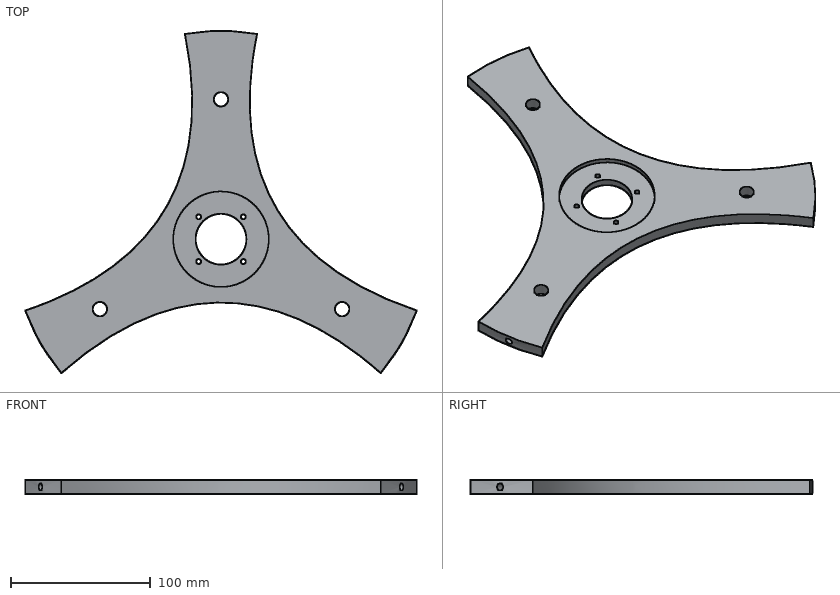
import cadquery as cq
import math

thickness = 10.0
overall_width = 280
tip_half_angle = 10
waist_radius = 45.5
arm_angles = (90, 210, 330)
half_arm_spacing = 60
tip_radius = overall_width / 2 / math.cos(math.radians(arm_angles[2] + tip_half_angle))

bore_diameter = 36.0
recess_diameter = 68.3
recess_depth = 4.0
screw_diameter = 3.5
screw_pitch = 32.0

arm_hole_diameter = 10.0
arm_hole_radius = 100.0
tip_hole_diameter = 5.0
tip_hole_depth = 20.0


def polar(radius, angle):
    """Point in the XY plane at a radius and an angle in degrees."""
    return (radius * math.cos(math.radians(angle)), radius * math.sin(math.radians(angle)))


def make_plate():
    """Three arms with round tips, joined by smooth parabolic sides."""
    outline = cq.Workplane("XY").moveTo(*polar(tip_radius, arm_angles[0] - tip_half_angle))
    for angle in arm_angles:
        tip_end = polar(tip_radius, angle + tip_half_angle)
        waist = polar(waist_radius, angle + half_arm_spacing)
        next_tip = polar(tip_radius, angle + 2 * half_arm_spacing - tip_half_angle)
        outline = outline.threePointArc(polar(tip_radius, angle), tip_end)
        outline = outline.spline([waist, next_tip], includeCurrent=True)
    return outline.close().extrude(thickness)


def cut_centre(body):
    """Through bore, shallow recess in the top face and screw holes in its floor."""
    bore = cq.Workplane("XY").circle(bore_diameter / 2).extrude(thickness)
    recess = (
        cq.Workplane("XY")
        .workplane(offset=thickness - recess_depth)
        .circle(recess_diameter / 2)
        .extrude(recess_depth)
    )
    screws = (
        cq.Workplane("XY")
        .rect(screw_pitch, screw_pitch, forConstruction=True)
        .vertices()
        .circle(screw_diameter / 2)
        .extrude(thickness)
    )
    return body.cut(bore).cut(recess).cut(screws)


def cut_arm_holes(body):
    """A vertical through hole in each arm and a blind radial hole in its tip."""
    for angle in arm_angles:
        arm_hole = (
            cq.Workplane("XY")
            .center(*polar(arm_hole_radius, angle))
            .circle(arm_hole_diameter / 2)
            .extrude(thickness)
        )
        tip_x, tip_y = polar(tip_radius, angle)
        inward_x, inward_y = polar(-1, angle)
        tip_hole = cq.Solid.makeCylinder(
            tip_hole_diameter / 2,
            tip_hole_depth,
            cq.Vector(tip_x, tip_y, thickness / 2),
            cq.Vector(inward_x, inward_y, 0),
        )
        body = body.cut(arm_hole).cut(cq.Workplane(tip_hole))
    return body


result = cut_arm_holes(cut_centre(make_plate()))